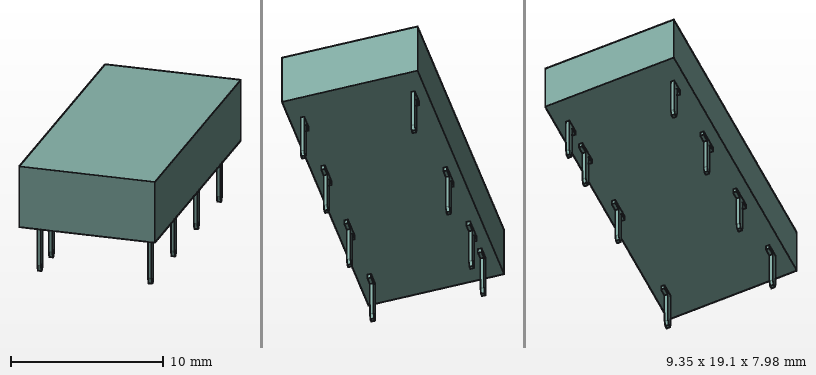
import cadquery as cq

overall_height = 7.98

housing_width = 9.35
housing_length = 19.05
housing_height = 4.3

pin_length = overall_height - housing_height
pin_thickness = 0.25
stem_width = 0.44
shoulder_width = 1.5
shoulder_height = 0.36
tip_width = 0.23
tip_height = 0.44

row_spacing = 7.62
pin_pitch = row_spacing / 3
grid_center_x = -0.02
left_row_x = grid_center_x - row_spacing / 2
right_row_x = grid_center_x + row_spacing / 2
end_step = 3
left_row_steps = [-end_step, -2, 0, end_step]
right_row_steps = [-end_step, -1, 1, end_step]


def make_housing():
    return cq.Workplane("XY").box(
        housing_width, housing_length, housing_height, centered=(True, True, False)
    )


def make_pin(x, step):
    """Pin with a shoulder on both sides, or only on the inward side at the row ends."""
    half_stem = stem_width / 2
    half_tip = tip_width / 2
    low_reach = half_stem if step == -end_step else shoulder_width / 2
    high_reach = half_stem if step == end_step else shoulder_width / 2

    stem = (
        cq.Workplane("YZ")
        .moveTo(-half_stem, 0)
        .lineTo(half_stem, 0)
        .lineTo(half_stem, tip_height - pin_length)
        .lineTo(half_tip, -pin_length)
        .lineTo(-half_tip, -pin_length)
        .lineTo(-half_stem, tip_height - pin_length)
        .close()
        .extrude(pin_thickness / 2, both=True)
    )
    shoulder = (
        cq.Workplane("XY")
        .box(pin_thickness, low_reach + high_reach, shoulder_height)
        .translate((0, (high_reach - low_reach) / 2, -shoulder_height / 2))
    )
    pin = stem.union(shoulder)
    return pin.translate((x, step * pin_pitch, 0)).solids().val()


housing = make_housing()

pins = []
for row_x, row_steps in ((left_row_x, left_row_steps), (right_row_x, right_row_steps)):
    for row_step in row_steps:
        pins.append(make_pin(row_x, row_step))

result = cq.Compound.makeCompound([housing.val(), *pins])